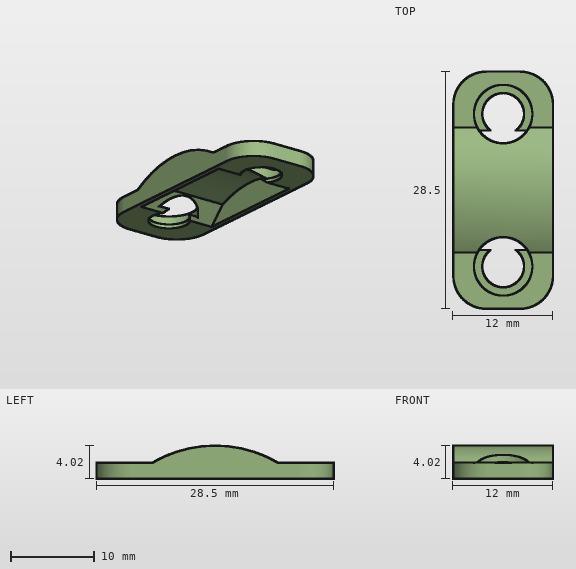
import cadquery as cq
import math

length = 28.5
width = 12.0
height = 4.02
plate_thickness = 1.97
corner_radius = 4.0

arch_half_span = 7.5
arch_rise = height - plate_thickness
arch_radius = (arch_half_span**2 + arch_rise**2) / (2 * arch_rise)
arch_center_z = height - arch_radius

hole_offset = 9.15
hole_diameter = 5.0
counterbore_diameter = 7.0
ledge_thickness = 0.5

shell_thickness = 0.7
hollow_half_length = 7.67
hollow_width = width - 2 * shell_thickness


def arched_block(half_length, block_width, roof_radius):
    """Block on the base plane with a roof curved about the arch axis."""
    edge_z = arch_center_z + math.sqrt(roof_radius**2 - half_length**2)
    return (
        cq.Workplane("YZ")
        .moveTo(-half_length, 0)
        .lineTo(half_length, 0)
        .lineTo(half_length, edge_z)
        .threePointArc((0, arch_center_z + roof_radius), (-half_length, edge_z))
        .close()
        .extrude(block_width / 2, both=True)
    )


def screw_hole(y):
    """Through hole with a counterbore that leaves a thin ledge."""
    through = cq.Workplane("XY").center(0, y).circle(hole_diameter / 2).extrude(height)
    counterbore = (
        cq.Workplane("XY", origin=(0, y, ledge_thickness))
        .circle(counterbore_diameter / 2)
        .extrude(height)
    )
    return through.union(counterbore)


plate = (
    cq.Workplane("XY")
    .box(width, length, plate_thickness, centered=(True, True, False))
    .edges("|Z")
    .fillet(corner_radius)
)
arch = arched_block(arch_half_span, width, arch_radius)
roof = arched_block(hollow_half_length, hollow_width, arch_radius - shell_thickness)
sloped_ends = (
    cq.Workplane("YZ")
    .polyline([(-hollow_half_length, 0), (hollow_half_length, 0), (0, hollow_half_length)])
    .close()
    .extrude(hollow_width / 2, both=True)
)
hollow = roof.intersect(sloped_ends)

result = plate.union(arch).cut(hollow)
for side in (-1, 1):
    result = result.cut(screw_hole(side * hole_offset))